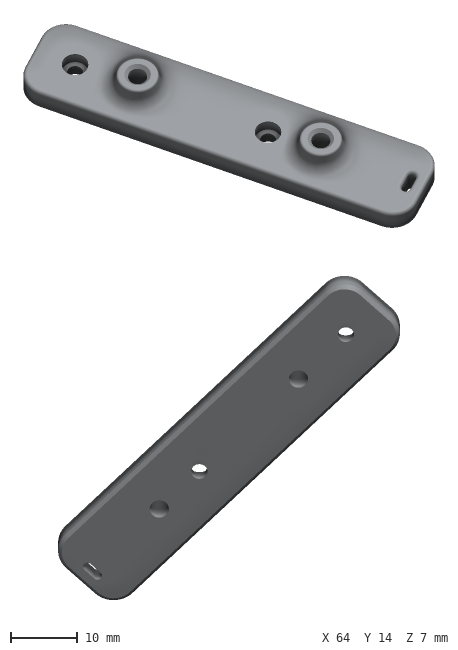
import cadquery as cq
import math

length = 64.0
width = 14.0
thickness = 4.0
corner_radius = 4.0
edge_chamfer = 0.6
edge_fillet = 0.6

boss_positions = [17.0, 47.05]
overall_height = 7.0
boss_draft = math.radians(12)
boss_flare_radius = 2.0
boss_flare_foot = 5.4
boss_edge_fillet = 0.4
boss_bore = 2.9
boss_bore_mouth = 4.0
boss_mouth_depth = 0.5

screw_positions = [6.8, 38.4]
screw_bore = 2.4
screw_head = 4.0
screw_floor = 2.0

slot_position = 61.45
slot_length = 3.45
slot_width = 1.35
slot_mouth_fillet = 0.6


def make_plate():
    plate = cq.Workplane("XY").box(length, width, thickness, centered=(False, True, False))
    plate = plate.edges("|Z").fillet(corner_radius)
    plate = plate.faces("<Z").edges().chamfer(edge_chamfer)
    return plate.faces(">Z").edges().fillet(edge_fillet)


def cut_slot(plate):
    slot = (
        cq.Workplane("XY", origin=(slot_position, 0, 0))
        .slot2D(slot_length, slot_width, 90)
        .extrude(thickness)
    )
    mouth_zone = cq.selectors.BoxSelector(
        (slot_position - slot_width, -slot_length, thickness - slot_mouth_fillet / 2),
        (slot_position + slot_width, slot_length, thickness + slot_mouth_fillet / 2),
    )
    return plate.cut(slot).edges(mouth_zone).fillet(slot_mouth_fillet)


def make_boss():
    """Drafted round boss with a concave foot, revolved about its own axis."""
    flare_center_z = thickness + boss_flare_radius

    def flare_point(angle):
        return (
            boss_flare_foot - boss_flare_radius * math.sin(angle),
            flare_center_z - boss_flare_radius * math.cos(angle),
        )

    flare_end = math.pi / 2 - boss_draft
    flare_top = flare_point(flare_end)
    rim_radius = flare_top[0] - (overall_height - flare_top[1]) * math.tan(boss_draft)
    boss = (
        cq.Workplane("XZ")
        .moveTo(0, 0.5 * thickness)
        .lineTo(boss_flare_foot, 0.5 * thickness)
        .lineTo(boss_flare_foot, thickness)
        .threePointArc(flare_point(flare_end / 2), flare_top)
        .lineTo(rim_radius, overall_height)
        .lineTo(0, overall_height)
        .close()
        .revolve(360, (0, 0), (0, 1))
    )
    return boss.faces(">Z").edges().fillet(boss_edge_fillet)


def cylinder(x, diameter, bottom, top):
    return cq.Workplane("XY", origin=(x, 0, bottom)).circle(diameter / 2).extrude(top - bottom)


def bore_mouth(x):
    """Conical lead-in at the top of a boss bore."""
    return (
        cq.Workplane("XY", origin=(x, 0, overall_height))
        .circle(boss_bore_mouth / 2)
        .workplane(offset=-boss_mouth_depth)
        .circle(boss_bore / 2)
        .loft()
    )


result = cut_slot(make_plate())

for x in boss_positions:
    result = result.union(make_boss().translate((x, 0, 0)))
    result = result.cut(cylinder(x, boss_bore, 0, overall_height))
    result = result.cut(bore_mouth(x))

for x in screw_positions:
    result = result.cut(cylinder(x, screw_bore, 0, thickness))
    result = result.cut(cylinder(x, screw_head, screw_floor, thickness))